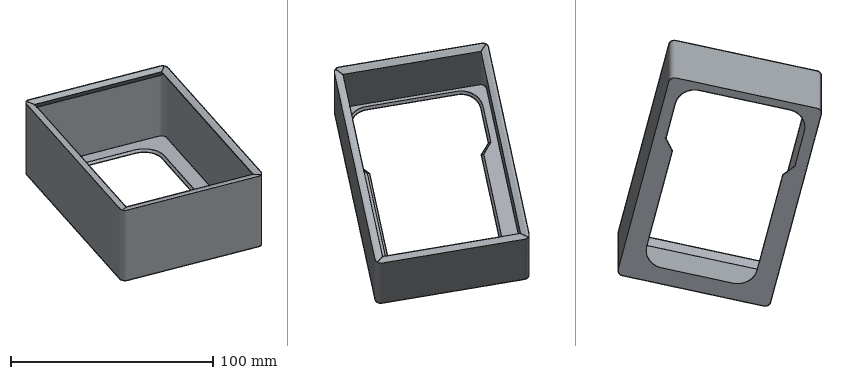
import cadquery as cq
import math

length = 112.6
width = 77.6
height = 41.3
wall = 1.2
corner_radius = 2.9
floor_thickness = 1.2

lip_reach = 2.8
lip_slope_drop = 0.8
lip_underside_drop = 3.9

bevel_width = 1.2
opening_left = 7.5 - length / 2
opening_right = 109.8 - length / 2
narrow_half_width = 29.3
wide_half_width = 34.0
narrow_end = 72.5 - length / 2
wide_start = 78.5 - length / 2
opening_radius = 11.0


def make_shell():
    """Open-topped box with rounded vertical corners and a thin floor."""
    outside = cq.Workplane("XY").box(length, width, height, centered=(True, True, False))
    outside = outside.edges("|Z").fillet(corner_radius)
    cavity = cq.Workplane("XY").workplane(offset=floor_thickness).box(
        length - 2 * wall, width - 2 * wall, height, centered=(True, True, False)
    )
    return outside.cut(cavity.edges("|Z").fillet(corner_radius))


def frustum(bottom_z, bottom_inset, top_z, top_inset):
    """Mitred block whose sides are inset from the outer box by the given amounts."""
    return (
        cq.Workplane("XY", origin=(0, 0, bottom_z))
        .rect(length - 2 * bottom_inset, width - 2 * bottom_inset)
        .workplane(offset=top_z - bottom_z)
        .rect(length - 2 * top_inset, width - 2 * top_inset)
        .loft(ruled=True)
    )


def make_lip():
    """Inward lip whose underside slopes back out and down to the wall."""
    ridge_inset = wall + lip_reach
    ridge_z = height - lip_slope_drop
    underside_z = ridge_z - lip_underside_drop
    blank = (
        cq.Workplane("XY", origin=(0, 0, underside_z))
        .rect(length, width)
        .extrude(height - underside_z)
        .edges("|Z")
        .fillet(corner_radius)
    )
    lower_void = frustum(underside_z, wall, ridge_z, ridge_inset)
    throat = frustum(ridge_z, ridge_inset, height, ridge_inset)
    return blank.cut(lower_void).cut(throat)


def make_rim_slope():
    """Cutter for the inward slope of the rim, with sharp mitred corners."""
    return frustum(height - lip_slope_drop, wall + lip_reach, height, wall)


def opening_outline(inset, z):
    """Closed opening profile, moved inward by inset, on the plane at height z."""
    left = opening_left + inset
    right = opening_right - inset
    narrow = narrow_half_width - inset
    wide = wide_half_width - inset
    radius = opening_radius - inset
    slant = math.atan2(wide_half_width - narrow_half_width, wide_start - narrow_end)
    step_shift = inset * math.tan(slant / 2)
    step_in = narrow_end + step_shift
    step_out = wide_start + step_shift
    diagonal = radius * (1 - math.sqrt(0.5))
    return (
        cq.Workplane("XY", origin=(0, 0, z))
        .moveTo(left + radius, -narrow)
        .lineTo(step_in, -narrow)
        .lineTo(step_out, -wide)
        .lineTo(right - radius, -wide)
        .threePointArc((right - diagonal, diagonal - wide), (right, radius - wide))
        .lineTo(right, wide - radius)
        .threePointArc((right - diagonal, wide - diagonal), (right - radius, wide))
        .lineTo(step_out, wide)
        .lineTo(step_in, narrow)
        .lineTo(left + radius, narrow)
        .threePointArc((left + diagonal, narrow - diagonal), (left, narrow - radius))
        .lineTo(left, radius - narrow)
        .threePointArc((left + diagonal, diagonal - narrow), (left + radius, -narrow))
        .close()
    )


def make_opening():
    """Bevelled cutter, narrowest at the underside of the floor."""
    lower_wire = opening_outline(bevel_width, 0).val()
    upper_wire = opening_outline(0, floor_thickness).val()
    return cq.Workplane(cq.Solid.makeLoft([lower_wire, upper_wire], True))


result = make_shell().union(make_lip()).cut(make_rim_slope()).cut(make_opening())